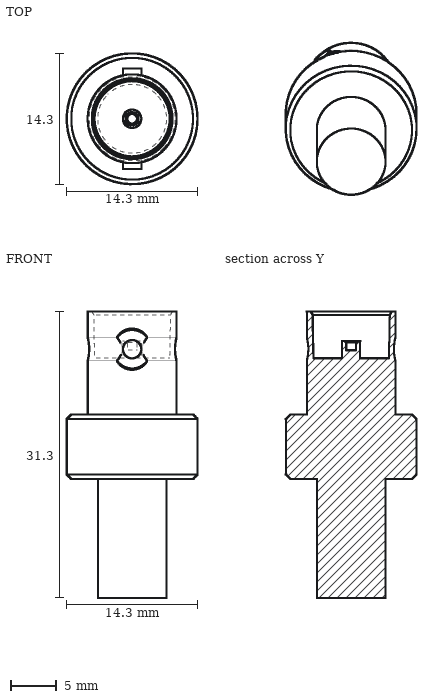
import cadquery as cq

total_height = 31.3
stem_radius = 3.75
flange_diameter = 14.3
flange_radius = flange_diameter / 2
flange_bottom = 13.0
flange_top = 20.05
flange_chamfer = 0.5

barrel_radius = 4.85
pin_drop = 4.13
pin_height = total_height - pin_drop
groove_half_width = 1.25
groove_depth = 0.15

pin_radius = 1.0
pin_reach = 5.5
flat_distance = 4.57
flat_radius = 2.1
flat_rim_radius = 2.25

socket_radius = 4.2
socket_floor_radius = 4.1
socket_depth = 5.1
socket_floor = total_height - socket_depth
lead_in_width = 0.22
lead_in_depth = 0.38

contact_radius = 1.0
contact_height = 1.88
contact_mouth_radius = 0.72
contact_hole_radius = 0.53
contact_mouth_depth = 0.2
contact_hole_depth = 1.0


def revolve_profile(profile):
    """Turn a closed radius-height profile about the Z axis."""
    return profile.close().revolve(360, (0, 0, 0), (0, 1, 0))


def make_body():
    """Stem, chamfered flange and grooved barrel as one turned solid."""
    profile = (
        cq.Workplane("XZ")
        .lineTo(stem_radius, 0)
        .lineTo(stem_radius, flange_bottom)
        .lineTo(flange_radius - flange_chamfer, flange_bottom)
        .lineTo(flange_radius, flange_bottom + flange_chamfer)
        .lineTo(flange_radius, flange_top - flange_chamfer)
        .lineTo(flange_radius - flange_chamfer, flange_top)
        .lineTo(barrel_radius, flange_top)
        .lineTo(barrel_radius, pin_height - groove_half_width)
        .threePointArc(
            (barrel_radius - groove_depth, pin_height),
            (barrel_radius, pin_height + groove_half_width),
        )
        .lineTo(barrel_radius, total_height)
        .lineTo(0, total_height)
    )
    return revolve_profile(profile)


def make_socket():
    """Slightly tapered bore with a conical lead-in at the mouth."""
    profile = (
        cq.Workplane("XZ")
        .moveTo(0, socket_floor)
        .lineTo(socket_floor_radius, socket_floor)
        .lineTo(socket_radius, total_height - lead_in_depth)
        .lineTo(socket_radius + lead_in_width, total_height)
        .lineTo(0, total_height)
    )
    return revolve_profile(profile)


def make_contact():
    """Round contact post with a countersunk blind hole."""
    top = socket_floor + contact_height
    profile = (
        cq.Workplane("XZ")
        .moveTo(0, socket_floor)
        .lineTo(contact_radius, socket_floor)
        .lineTo(contact_radius, top)
        .lineTo(contact_mouth_radius, top)
        .lineTo(contact_hole_radius, top - contact_mouth_depth)
        .lineTo(contact_hole_radius, top - contact_hole_depth)
        .lineTo(0, top - contact_hole_depth)
    )
    return revolve_profile(profile)


def flat_cutter(side):
    """Cone-walled cutter for the round flat on the -Y (side = 1) or +Y (side = -1) face."""
    return (
        cq.Workplane("XZ", origin=(0, -side * flat_distance, pin_height))
        .circle(flat_radius)
        .workplane(offset=side * (barrel_radius - flat_distance))
        .circle(flat_rim_radius)
        .loft(ruled=True)
    )


def bayonet_pin(side):
    """Pin reaching out of the flat on the given side."""
    return (
        cq.Workplane("XZ", origin=(0, -side * socket_radius, pin_height))
        .circle(pin_radius)
        .extrude(side * (pin_reach - socket_radius))
    )


body = make_body()
for side in (1, -1):
    body = body.cut(flat_cutter(side)).union(bayonet_pin(side))
result = body.cut(make_socket()).union(make_contact())